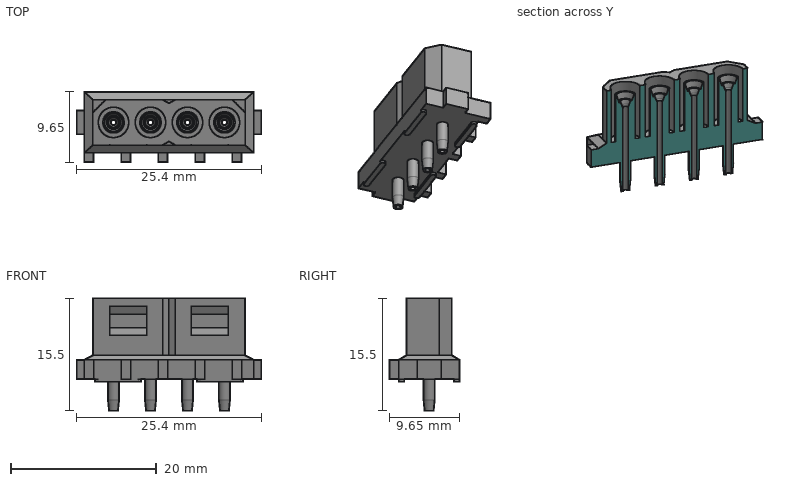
import cadquery as cq

overall_length = 25.4
pitch = 5.08
position_count = 4
overlap = 0.2

base_length = 23.3
base_width = 8.38
base_height = 2.67
tab_width = 3.3
rib_size = 1.3
rib_projection = 1.27
rib_count = 5

skirt_height = 0.63
tower_length = 20.9
tower_width = 6.23
tower_height = 7.84
corner_cut = 1.75
notch_half_width = 0.88
notch_depth = 0.5

foot_z = base_height + skirt_height
top_z = foot_z + tower_height

recess_length = pitch
recess_offset = 5.6
recess_top_drop = 1.13
recess_height = 4.0
recess_slope_height = 1.07
recess_depth = 0.36

socket_radius = 2.09
contact_radius = 1.46
contact_top_drop = 1.14
entry_radius = 1.24
entry_end_radius = 0.95
entry_depth = 0.9
funnel_radius = 0.72
funnel_end_radius = 0.5
funnel_depth = 0.6
throat_depth = 0.3
bore_radius = 0.35

pin_radius = 0.785
pin_tip_radius = 0.63
pin_straight_length = 2.82
pin_taper_length = 1.53

foot_length = 6.35
foot_width = 0.8
foot_height = 0.38
foot_offset = 7.0

pin_tip_z = -(pin_straight_length + pin_taper_length)
contact_top_z = top_z - contact_top_drop
tower_front_y = -tower_width / 2

pin_points = [((i - (position_count - 1) / 2) * pitch, 0) for i in range(position_count)]


def make_base():
    """Rectangular base with a tab on each end and a row of ribs along the front."""
    base = cq.Workplane("XY").box(base_length, base_width, base_height, centered=(True, True, False))
    tabs = cq.Workplane("XY").box(overall_length, tab_width, base_height, centered=(True, True, False))
    base = base.union(tabs)
    first_rib_x = -base_length / 2
    rib_depth = rib_projection + overlap
    for i in range(rib_count):
        rib = cq.Workplane("XY").box(rib_size, rib_depth, base_height, centered=False)
        rib_y = -base_width / 2 - rib_projection
        base = base.union(rib.translate((first_rib_x + i * pitch, rib_y, 0)))
    return base


def make_skirt():
    """Frustum that narrows from the base outline to the tower outline."""
    return (
        cq.Workplane("XY", origin=(0, 0, base_height))
        .rect(base_length, base_width)
        .workplane(offset=skirt_height)
        .rect(tower_length, tower_width)
        .loft(ruled=True)
    )


def make_tower():
    """Tower with two cut rear corners and a V-notch in the middle of each long side."""
    half_length = tower_length / 2
    half_width = tower_width / 2
    outline = [
        (-half_length, -half_width),
        (-notch_half_width, -half_width),
        (0, -half_width + notch_depth),
        (notch_half_width, -half_width),
        (half_length, -half_width),
        (half_length, half_width - corner_cut),
        (half_length - corner_cut, half_width),
        (notch_half_width, half_width),
        (0, half_width - notch_depth),
        (-notch_half_width, half_width),
        (-half_length + corner_cut, half_width),
        (-half_length, half_width - corner_cut),
    ]
    return cq.Workplane("XY", origin=(0, 0, foot_z)).polyline(outline).close().extrude(tower_height)


def make_recess(center_x):
    """Trapezoidal cutter: sloped top and bottom faces run in to a flat back."""
    recess_top_z = top_z - recess_top_drop
    recess_bottom_z = recess_top_z - recess_height
    back_y = tower_front_y + recess_depth
    profile = [
        (tower_front_y, recess_top_z),
        (back_y, recess_top_z - recess_slope_height),
        (back_y, recess_bottom_z + recess_slope_height),
        (tower_front_y, recess_bottom_z),
    ]
    start_x = center_x - recess_length / 2
    return cq.Workplane("YZ", origin=(start_x, 0, 0)).polyline(profile).close().extrude(recess_length)


def make_contact():
    """Stepped tubular contact and tapered solder pin, revolved about its own axis."""
    entry_end_z = contact_top_z - entry_depth
    funnel_end_z = entry_end_z - funnel_depth
    throat_z = funnel_end_z - throat_depth
    profile = [
        (bore_radius, pin_tip_z),
        (pin_tip_radius, pin_tip_z),
        (pin_radius, -pin_straight_length),
        (pin_radius, 0),
        (contact_radius, 0),
        (contact_radius, contact_top_z),
        (entry_radius, contact_top_z),
        (entry_end_radius, entry_end_z),
        (funnel_radius, entry_end_z),
        (funnel_end_radius, funnel_end_z),
        (bore_radius, throat_z),
    ]
    return cq.Workplane("YZ").polyline(profile).close().revolve(360, (0, 0, 0), (0, 1, 0))


def make_feet():
    """Four round-ended standoff feet along the long edges of the underside."""
    foot_y = (base_width - foot_width) / 2
    points = [(x, y) for x in (-foot_offset, foot_offset) for y in (-foot_y, foot_y)]
    return (
        cq.Workplane("XY", origin=(0, 0, -foot_height))
        .pushPoints(points)
        .slot2D(foot_length, foot_width)
        .extrude(foot_height + overlap)
    )


housing = make_base().union(make_skirt()).union(make_tower()).union(make_feet())
for recess_x in (-recess_offset, recess_offset):
    housing = housing.cut(make_recess(recess_x))

socket_floor = cq.Workplane("XY", origin=(0, 0, foot_z))
sockets = socket_floor.pushPoints(pin_points).circle(socket_radius).extrude(tower_height)
contact_holes = cq.Workplane("XY").pushPoints(pin_points).circle(contact_radius).extrude(foot_z)
result = housing.cut(sockets).cut(contact_holes)

contact = make_contact()
for x, y in pin_points:
    result = result.union(contact.translate((x, y, 0)))